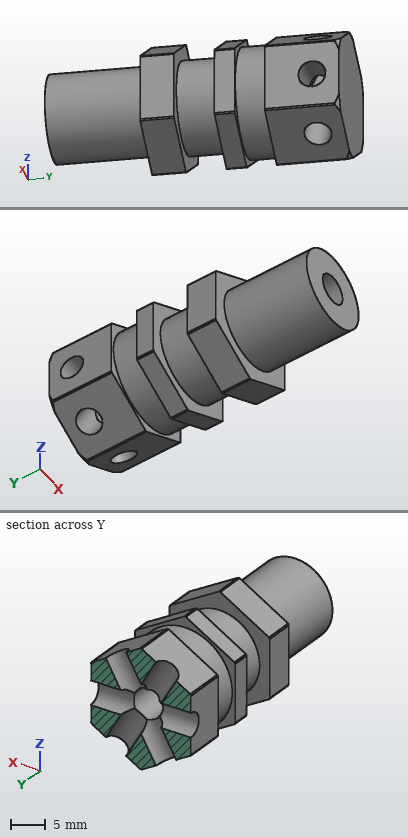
import cadquery as cq
import math

total_length = 44
shank_length = 14.55
thick_nut_width = 5.0
neck_length = 6.0
thin_nut_width = 3.0
collar_length = 4.45

thick_nut_start = shank_length
neck_start = thick_nut_start + thick_nut_width
thin_nut_start = neck_start + neck_length
collar_start = thin_nut_start + thin_nut_width
head_start = collar_start + collar_length
head_length = total_length - head_start

shank_diameter = 13.2
neck_diameter = 14.0
collar_diameter = 16.5
bore_diameter = 5.0
side_hole_diameter = 4.0

across_flats = 17.5
trimmed_diameter = 20.05
end_chamfer = 0.6

side_hole_inset = 4.0
side_hole_y = total_length - side_hole_inset


def cylinder(diameter, start, length):
    """Round bar along +Y."""
    return cq.Workplane("XZ", origin=(0, start, 0)).circle(diameter / 2).extrude(-length)


def hexagon(start, length):
    """Hexagonal bar along +Y with corners up and down and rounded off."""
    across_corners = across_flats / math.cos(math.pi / 6)
    prism = (
        cq.Workplane("XZ", origin=(0, start, 0))
        .transformed(rotate=(0, 0, 90))
        .polygon(6, across_corners)
        .extrude(-length)
    )
    return prism.intersect(cylinder(trimmed_diameter, start, length))


def chamfered_envelope():
    """Turned shape that bevels the corners at the end of the head."""
    return cylinder(trimmed_diameter, head_start, head_length).faces(">Y").chamfer(end_chamfer)


def side_hole(angle):
    """Hole through the head, square to one pair of flats."""
    hole = (
        cq.Workplane("YZ", origin=(0, side_hole_y, 0))
        .circle(side_hole_diameter / 2)
        .extrude(across_flats, both=True)
    )
    return hole.rotate((0, 0, 0), (0, 1, 0), angle)


body = cylinder(shank_diameter, 0, shank_length)
body = body.union(hexagon(thick_nut_start, thick_nut_width))
body = body.union(cylinder(neck_diameter, neck_start, neck_length))
body = body.union(hexagon(thin_nut_start, thin_nut_width))
body = body.union(cylinder(collar_diameter, collar_start, collar_length))
body = body.union(hexagon(head_start, head_length).intersect(chamfered_envelope()))

body = body.cut(cylinder(bore_diameter, 0, side_hole_y))
for angle in (0, 60, 120):
    body = body.cut(side_hole(angle))

result = body